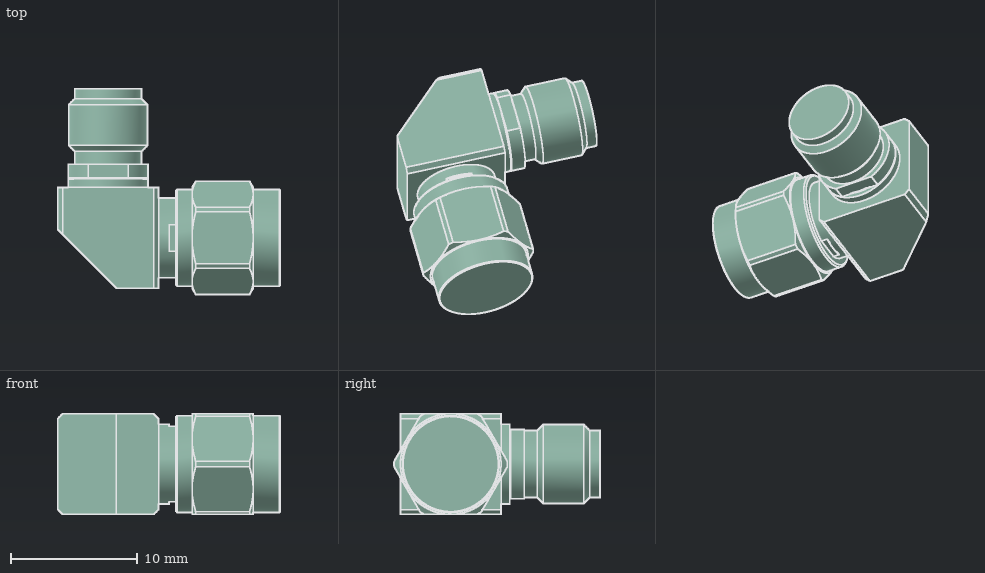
import cadquery as cq
import math


OVERALL_LENGTH = 17.65

BLOCK_SIZE = 8.0
BLOCK_HALF = BLOCK_SIZE / 2
CORNER_CUT = 4.65
EDGE_CHAMFER = 0.39
COLLAR_RADIUS = 3.18
COLLAR_LENGTH = 0.69

NECK_RADIUS = COLLAR_RADIUS
NECK_END_X = 5.35
NECK_FLAT_HALF = 3.0
NECK_FLAT_LENGTH = 0.51

JACK_END_Y = 11.85
JACK_START_Y = BLOCK_HALF + COLLAR_LENGTH
RELIEF_LENGTH = 0.07
WRENCH_RING_LENGTH = 1.1
WRENCH_FLAT_HALF = 2.75
RELIEF_RADIUS = WRENCH_FLAT_HALF
JACK_ROOT_RADIUS = 2.67
THREAD_RADIUS = 3.15
THREAD_CHAMFER = THREAD_RADIUS - JACK_ROOT_RADIUS
ROOT_LENGTH = 1.0
LEAD_LENGTH = 0.81

NUT_START_X = NECK_END_X
NUT_END_X = OVERALL_LENGTH - BLOCK_HALF
NUT_RADIUS = 3.85
REAR_CHAMFER = 0.15
FRONT_CHAMFER = 0.07
HEX_SIDES = 6
HEX_ACROSS_FLATS = BLOCK_SIZE
HEX_CORNER_RADIUS = 4.5
HEX_START_X = 6.65
HEX_END_X = 11.5
HEX_CHAMFER_ANGLE = 30


def cylinder_x(radius, start, end):
    return cq.Workplane("YZ", origin=(start, 0, 0)).circle(radius).extrude(end - start)


def cylinder_y(radius, start, end):
    return cq.Workplane("XZ", origin=(0, start, 0)).circle(radius).extrude(start - end)


def make_elbow():
    outline = [
        (-BLOCK_HALF, BLOCK_HALF),
        (-BLOCK_HALF, CORNER_CUT - BLOCK_HALF),
        (CORNER_CUT - BLOCK_HALF, -BLOCK_HALF),
        (BLOCK_HALF, -BLOCK_HALF),
        (BLOCK_HALF, BLOCK_HALF),
    ]
    block = cq.Workplane("XY").polyline(outline).close().extrude(BLOCK_HALF, both=True)

    bar = (
        cq.Workplane("XZ")
        .rect(BLOCK_SIZE, BLOCK_SIZE)
        .extrude(BLOCK_HALF, both=True)
        .edges("|Y")
        .chamfer(EDGE_CHAMFER)
    )
    block = block.intersect(bar)

    collar = cylinder_y(COLLAR_RADIUS, 0, JACK_START_Y)
    return block.union(collar).union(make_neck())


def flat_bar(along_x, along_y, half_height, center):
    """Bar whose top and bottom faces form a pair of flats."""
    return cq.Workplane("XY").box(along_x, along_y, 2 * half_height).translate(center)


def make_neck():
    flat_start = NECK_END_X - NECK_FLAT_LENGTH
    flat_middle = (NECK_END_X + flat_start) / 2
    flats = flat_bar(NECK_FLAT_LENGTH, 2 * NECK_RADIUS, NECK_FLAT_HALF, (flat_middle, 0, 0))
    flatted = cylinder_x(NECK_RADIUS, flat_start, NECK_END_X).intersect(flats)
    return cylinder_x(NECK_RADIUS, 0, flat_start).union(flatted)


def make_jack():
    ring_start = JACK_START_Y + RELIEF_LENGTH
    ring_end = ring_start + WRENCH_RING_LENGTH
    thread_start = ring_end + ROOT_LENGTH
    thread_end = JACK_END_Y - LEAD_LENGTH

    relief = cylinder_y(RELIEF_RADIUS, JACK_START_Y, ring_start)
    ring_middle = (ring_start + ring_end) / 2
    wrench_flats = flat_bar(2 * COLLAR_RADIUS, WRENCH_RING_LENGTH, WRENCH_FLAT_HALF, (0, ring_middle, 0))
    ring = cylinder_y(COLLAR_RADIUS, ring_start, ring_end).intersect(wrench_flats)
    root = cylinder_y(JACK_ROOT_RADIUS, ring_start, JACK_END_Y)
    thread = cylinder_y(THREAD_RADIUS, thread_start, thread_end).edges().chamfer(THREAD_CHAMFER)
    return relief.union(ring).union(root).union(thread)


def make_coupling_nut():
    sleeve = cylinder_x(NUT_RADIUS, NUT_START_X, NUT_END_X)
    sleeve = sleeve.faces("<X").chamfer(REAR_CHAMFER)
    sleeve = sleeve.faces(">X").chamfer(FRONT_CHAMFER)

    corner_diameter = HEX_ACROSS_FLATS / math.cos(math.pi / HEX_SIDES)
    hexagon = (
        cq.Workplane("YZ", origin=(HEX_START_X, 0, 0))
        .polygon(HEX_SIDES, corner_diameter)
        .extrude(HEX_END_X - HEX_START_X)
    )

    flat_radius = HEX_ACROSS_FLATS / 2
    chamfer_length = (HEX_CORNER_RADIUS - flat_radius) * math.tan(math.radians(HEX_CHAMFER_ANGLE))
    envelope = (
        cq.Workplane("XY")
        .moveTo(HEX_START_X, 0)
        .lineTo(HEX_START_X, flat_radius)
        .lineTo(HEX_START_X + chamfer_length, HEX_CORNER_RADIUS)
        .lineTo(HEX_END_X - chamfer_length, HEX_CORNER_RADIUS)
        .lineTo(HEX_END_X, flat_radius)
        .lineTo(HEX_END_X, 0)
        .close()
        .revolve(360, (0, 0, 0), (1, 0, 0))
    )
    return sleeve.union(hexagon.intersect(envelope))


elbow = make_elbow()
jack = make_jack()
coupling_nut = make_coupling_nut()

result = cq.Compound.makeCompound([elbow.val(), jack.val(), coupling_nut.val()])